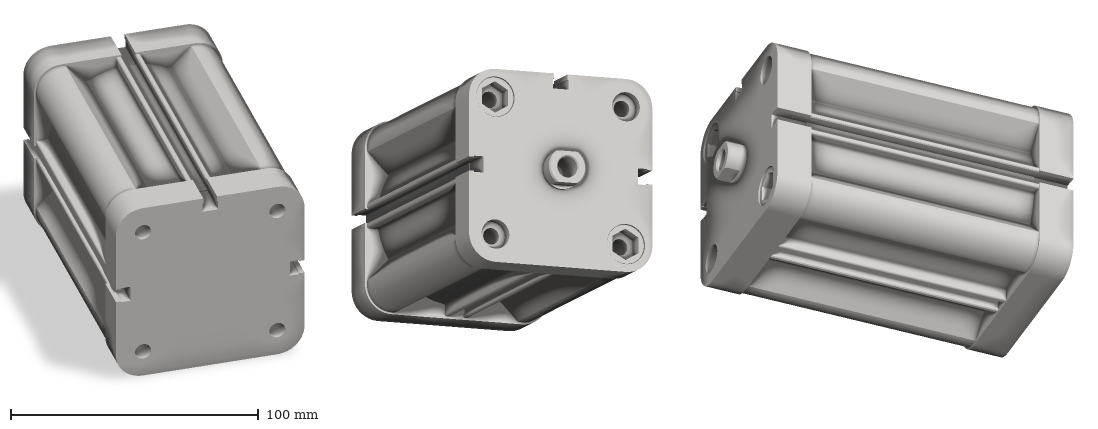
import cadquery as cq
import math


overall_length = 138.0
width = 79.5
half_width = width / 2
rod_reach = 8.0
cap_length = 14.9
barrel_length = overall_length - rod_reach - 2 * cap_length
barrel_start = cap_length
rear_cap_start = barrel_start + barrel_length

bolt_offset = 28.3
bolt_hole_diameter = 6.8
corner_radius = half_width - bolt_offset

counterbore_diameter = 12.0
counterbore_depth = 5.0
hex_across_flats = 11.2
hex_depth = 7.2
boss_seat_diameter = 16.5
boss_sink = 0.5
boss_gap = 0.3
boss_groove_depth = 1.4

slot_neck_half = 2.9
slot_half = 3.3
slot_lip = 2.2
cap_slot_depth = 6.2
barrel_slot_depth = 5.8

barrel_inset = 0.8
barrel_half = half_width - barrel_inset
barrel_corner_radius = barrel_half - bolt_offset
tube_radius = 34.4
recess_mouth_half = 26.5
rail_half = 5.1
rail_fillet = 0.8
root_fillet = 1.0
rail_edge_chamfer = 0.4

rod_diameter = 16.0
rod_chamfer_length = 0.7
rod_chamfer_height = 0.5
rod_flat_distance = 13.0
rod_flat_length = 6.3
rod_hole_diameter = 8.5
rod_hole_chamfer = 0.5
rod_hole_depth = 16.5
drill_tip_angle = 118.0

CORNERS = [(y * bolt_offset, z * bolt_offset) for y in (-1, 1) for z in (-1, 1)]
HEX_CORNERS = [(y, z) for y, z in CORNERS if y * z > 0]
COUNTERBORE_CORNERS = [(y, z) for y, z in CORNERS if y * z < 0]

SIDE_TOP = 0
SIDE_FRONT = 90
SIDE_BOTTOM = 180
SIDE_BACK = 270
CAP_SLOT_SIDES = (SIDE_TOP, SIDE_FRONT, SIDE_BACK)
ALL_SIDES = (SIDE_TOP, SIDE_FRONT, SIDE_BOTTOM, SIDE_BACK)


def cross_section(x):
    """Workplane facing +X at x, with local axes Y and Z."""
    return cq.Workplane("YZ", origin=(x, 0, 0))


def on_side(shape, side):
    """Turn a feature made on the +Z side about the X axis to another side."""
    return shape.rotate((0, 0, 0), (1, 0, 0), side)


def rounded_square(start, length, half, radius):
    block = cross_section(start).rect(2 * half, 2 * half).extrude(length)
    return block.edges("|X").fillet(radius)


def cut_bolt_holes(body, start, length):
    holes = cross_section(start).pushPoints(CORNERS).circle(bolt_hole_diameter / 2).extrude(length)
    return body.cut(holes)


def t_slot(start, length, depth):
    """Cutter for a T-slot in the +Z side, with its depth taken from the cap surface."""
    lip_bottom = half_width - slot_lip
    floor = half_width - depth
    outline = [
        (-slot_neck_half, half_width),
        (-slot_neck_half, lip_bottom),
        (-slot_half, lip_bottom),
        (-slot_half, floor),
        (slot_half, floor),
        (slot_half, lip_bottom),
        (slot_neck_half, lip_bottom),
        (slot_neck_half, half_width),
    ]
    return cross_section(start).polyline(outline).close().extrude(length)


def make_cap(start):
    """Cap shape shared by both ends: rounded square, three T-slots and four bolt holes."""
    cap = rounded_square(start, cap_length, half_width, corner_radius)
    for side in CAP_SLOT_SIDES:
        cap = cap.cut(on_side(t_slot(start, cap_length, cap_slot_depth), side))
    return cut_bolt_holes(cap, start, cap_length)


def make_front_cap():
    cap = make_cap(0)

    face = cross_section(0).pushPoints(COUNTERBORE_CORNERS)
    cap = cap.cut(face.circle(counterbore_diameter / 2).extrude(counterbore_depth))

    hex_diameter = hex_across_flats / math.cos(math.pi / 6)
    socket = cross_section(0).polygon(6, hex_diameter).extrude(hex_depth)
    socket = socket.rotate((0, 0, 0), (1, 0, 0), 90)
    for y, z in HEX_CORNERS:
        cap = cap.cut(socket.translate((0, y, z)))

    seat_radius = boss_seat_diameter / 2
    centers = cross_section(0).pushPoints(HEX_CORNERS)
    sunk_faces = centers.circle(seat_radius).extrude(boss_sink)
    boss_cores = centers.circle(seat_radius - boss_gap).extrude(boss_groove_depth)
    grooves = centers.circle(seat_radius).extrude(boss_groove_depth).cut(boss_cores)
    cap = cap.cut(sunk_faces).cut(grooves)

    return cap.cut(cross_section(0).circle(rod_diameter / 2).extrude(cap_length))


def make_barrel_recess():
    """Cutter for the +Z side: 45 degree flanks down to the round tube, around a central rail."""
    mouth_height = bolt_offset + math.sqrt(
        barrel_corner_radius**2 - (bolt_offset - recess_mouth_half) ** 2
    )
    flank_meeting = mouth_height - recess_mouth_half
    recess = (
        cross_section(barrel_start)
        .moveTo(0, flank_meeting)
        .lineTo(recess_mouth_half, mouth_height)
        .radiusArc((bolt_offset, barrel_half), barrel_corner_radius)
        .lineTo(-bolt_offset, barrel_half)
        .radiusArc((-recess_mouth_half, mouth_height), barrel_corner_radius)
        .close()
        .extrude(barrel_length)
    )

    tube = cross_section(barrel_start).circle(tube_radius).extrude(barrel_length)
    rail = cross_section(barrel_start).rect(2 * rail_half, 2 * barrel_half).extrude(barrel_length)
    rail = rail.edges("|X").fillet(rail_fillet)
    recess = recess.cut(tube).cut(rail)

    tube_edges = [
        edge
        for edge in recess.edges("|X").vals()
        if abs(math.hypot(edge.Center().y, edge.Center().z) - tube_radius) < root_fillet / 10
    ]
    return recess.newObject(tube_edges).fillet(root_fillet)


def make_barrel():
    barrel = rounded_square(barrel_start, barrel_length, barrel_half, barrel_corner_radius)
    recess = make_barrel_recess()
    slot = t_slot(barrel_start, barrel_length, barrel_slot_depth)
    mouth = (
        cross_section(barrel_start)
        .polyline(
            [
                (-slot_neck_half - rail_edge_chamfer, barrel_half),
                (slot_neck_half + rail_edge_chamfer, barrel_half),
                (slot_neck_half, barrel_half - rail_edge_chamfer),
                (-slot_neck_half, barrel_half - rail_edge_chamfer),
            ]
        )
        .close()
        .extrude(barrel_length)
    )
    for side in ALL_SIDES:
        for cutter in (recess, slot, mouth):
            barrel = barrel.cut(on_side(cutter, side))
    return cut_bolt_holes(barrel, barrel_start, barrel_length)


def make_rod():
    """Rod from its free end to the inner face of the front cap."""
    tip = -rod_reach
    radius = rod_diameter / 2
    rod = cross_section(tip).circle(radius).extrude(rod_reach + cap_length)
    rod = rod.faces("<X").chamfer(rod_chamfer_length, rod_chamfer_height)

    flat_depth = radius - rod_flat_distance / 2
    flat_middle = radius - flat_depth / 2
    flats = (
        cross_section(tip)
        .pushPoints([(0, flat_middle), (0, -flat_middle)])
        .rect(rod_diameter, flat_depth)
        .extrude(rod_flat_length)
    )
    rod = rod.cut(flats)

    hole_radius = rod_hole_diameter / 2
    cone_length = hole_radius / math.tan(math.radians(drill_tip_angle / 2))
    hole_profile = [
        (tip, 0),
        (tip, hole_radius + rod_hole_chamfer),
        (tip + rod_hole_chamfer, hole_radius),
        (tip + rod_hole_depth, hole_radius),
        (tip + rod_hole_depth + cone_length, 0),
    ]
    hole = cq.Workplane("XY").polyline(hole_profile).close().revolve(360, (0, 0, 0), (1, 0, 0))
    return rod.cut(hole)


front_cap = make_front_cap()
barrel = make_barrel()
rear_cap = make_cap(rear_cap_start)
rod = make_rod()

result = cq.Compound.makeCompound([front_cap.val(), barrel.val(), rear_cap.val(), rod.val()])